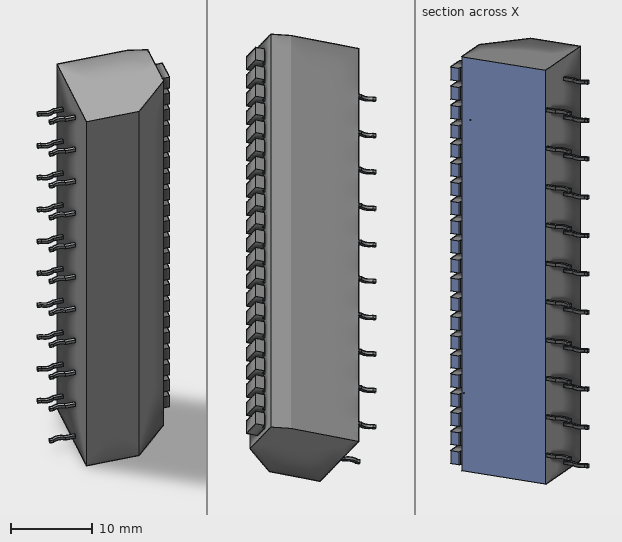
import cadquery as cq

length = 54.0
width = 12.0
depth = 11.5
steep_chamfer_width = 0.65
steep_chamfer_depth = 2.45
slope_width = 4.85
slope_depth = 4.7

pole_count = 21
first_pin_z = 1.25
last_pin_z = 51.25
pitch = (last_pin_z - first_pin_z) / (pole_count - 1)

pin_size = 0.4
pin_length = 3.3
even_row_x = 1.4
odd_row_x = -3.55
kink_start = 1.3
kink_end = 2.85
kink_height = 0.25

button_left_x = -4.15
button_width = 2.9
button_height = 1.5
button_length = 1.75
button_rise = 0.3
undercut_width = 0.65
undercut_height = 0.3

embed = 0.25


def make_housing():
    left = -width / 2
    right = width / 2
    outline = [
        (left, 0),
        (right, 0),
        (right, depth - slope_depth),
        (right - slope_width, depth),
        (left + steep_chamfer_width, depth),
        (left, depth - steep_chamfer_depth),
    ]
    return cq.Workplane("XY").polyline(outline).close().extrude(length)


def make_pin(row_x, kink_side, center_z):
    """Pin pointing to -Y; kink_side is +1 or -1, the X direction of its kink."""
    left = row_x - pin_size / 2
    right = row_x + pin_size / 2
    kink_middle = (kink_start + kink_end) / 2
    kink_shift = kink_side * kink_height
    return (
        cq.Workplane("XY", origin=(0, 0, center_z - pin_size / 2))
        .moveTo(left, embed)
        .lineTo(left, -kink_start)
        .threePointArc((left + kink_shift, -kink_middle), (left, -kink_end))
        .lineTo(left, -pin_length)
        .lineTo(right, -pin_length)
        .lineTo(right, -kink_end)
        .threePointArc((right + kink_shift, -kink_middle), (right, -kink_start))
        .lineTo(right, embed)
        .close()
        .extrude(pin_size)
    )


def make_button(center_z):
    right = button_left_x + button_width
    stem_left = button_left_x + undercut_width
    outline = [
        (stem_left, depth - embed),
        (right, depth - embed),
        (right, depth + button_height),
        (button_left_x, depth + button_height),
        (button_left_x, depth + undercut_height),
        (stem_left, depth + undercut_height),
    ]
    bottom = cq.Workplane("XY", origin=(0, 0, center_z - button_length / 2))
    return bottom.polyline(outline).close().extrude(button_length)


result = make_housing()
for pole in range(pole_count):
    pin_z = first_pin_z + pole * pitch
    if pole % 2 == 0:
        pin = make_pin(even_row_x, -1, pin_z)
    else:
        pin = make_pin(odd_row_x, 1, pin_z)
    result = result.union(pin).union(make_button(pin_z + button_rise))